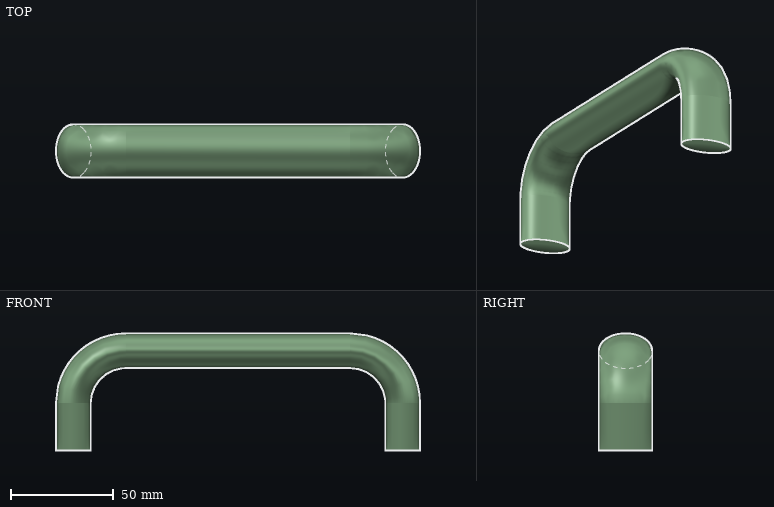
import cadquery as cq

leg_spacing = 160.0
bar_thickness = 17.0
bar_width = 26.0
overall_height = 57.0
inner_bend_radius = 17.0

bend_radius = inner_bend_radius + bar_thickness / 2
half_spacing = leg_spacing / 2
grip_height = overall_height - bar_thickness / 2
leg_height = grip_height - bend_radius
half_grip = half_spacing - bend_radius


def centre_line():
    """Path up the left leg, along the grip and down the right leg."""
    return (
        cq.Workplane("XZ")
        .moveTo(-half_spacing, 0)
        .lineTo(-half_spacing, leg_height)
        .tangentArcPoint((-half_grip, grip_height), relative=False)
        .lineTo(half_grip, grip_height)
        .tangentArcPoint((half_spacing, leg_height), relative=False)
        .lineTo(half_spacing, 0)
    )


def bow():
    """Sweep the elliptical section, long axis along Y, along the centre line."""
    section = (
        cq.Workplane("XY")
        .center(-half_spacing, 0)
        .ellipse(bar_thickness / 2, bar_width / 2)
    )
    return section.sweep(centre_line())


result = bow()